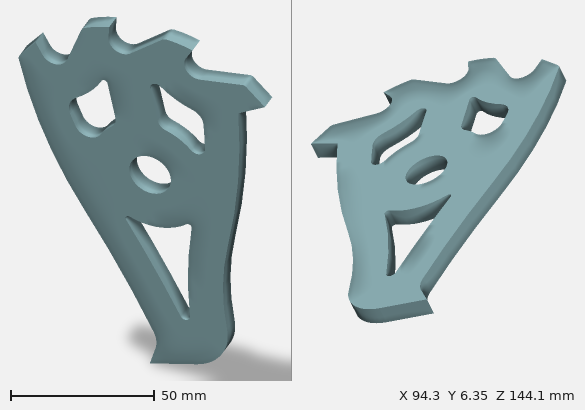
import cadquery as cq
import math

plate_thickness = 6.35
pivot_hole_diameter = 15.875

hub_radius = 22.225

tooth_1_shoulder = (-50.55, 36.0)
tooth_1_tip = (-43.84, 44.32)
tooth_2_shoulder = (-26.1, 56.05)
tooth_2_tip = (-15.7, 59.89)
tooth_3_shoulder = (5.4, 61.4)
tooth_3_tip = (16.25, 59.71)
tooth_4_shoulder = (36.15, 50.7)
tooth_4_tip = (43.95, 43.55)
tooth_2_back_rise = 0.37
tooth_3_back_rise = 0.34
crest_radius = 2.8
hook_radius = 1.8
tail_radius = 2.2

gullet_1 = (-35.67, 30.01)
gullet_2 = (-16.54, 43.54)
gullet_3 = (8.05, 45.88)
gullet_radius = 5.2

right_throat = (33.77, 37.65)
right_inflection = (29.78, -21.84)
right_bulge = 1.93
heel = (33.21, -73.04)
heel_radius = 16.5
spur_tip = (-0.14, -82.79)
spur_root = (3.1, -72.0)
spur_root_radius = 9.5
left_inflection = (-25.21, -23.21)
left_hollow = 0.9
throat_radius = 0.8


left_window_top = (-17.1, 38.6)
left_window_outer = (-32.6, 22.66)
left_window_hub_start = 125.0
left_window_hub_end = 177.16
left_window_gullet_bulge = 2.27
left_window_side_bulge = 0.82
left_window_top_radius = 1.2
left_window_outer_radius = 6.44
left_window_bottom_radius = 5.54
left_window_inner_radius = 4.2

right_window_top = (-1.75, 45.88)
right_window_outer = (20.01, 32.71)
right_window_hub_start = 18.75
right_window_hub_end = 80.9
right_window_gullet_bulge = 2.43
right_window_side_bulge = 0.41
right_window_top_radius = 2.38
right_window_outer_radius = 5.67
right_window_bottom_radius = 3.09
right_window_inner_radius = 4.4

lower_window_bottom = (16.7, -68.0)
lower_window_hub_start = 238.8
lower_window_hub_end = 317.4
lower_window_right_bulge = 2.1
lower_window_left_bulge = 0.75
lower_window_hub_corner_radius = 1.2
lower_window_bottom_radius = 1.9


def hub_point(angle):
    """Point on the hub ring at an angle in degrees from +X towards +Z."""
    turn = math.radians(angle)
    return (hub_radius * math.cos(turn), hub_radius * math.sin(turn))


def sketch_at(point):
    """Start an outline on the mid plane of the plate, in X and Z."""
    return cq.Workplane("XZ").moveTo(*point)


def extrude_rounded(outline, rounded_corners):
    """Extrude a closed outline about the mid plane and round the listed (corner, radius) pairs."""
    body = outline.close().extrude(plate_thickness / 2, both=True)
    for (x, z), radius in rounded_corners:
        corner_edge = cq.selectors.NearestToPointSelector((x, 0, z))
        body = body.edges("|Y").edges(corner_edge).fillet(radius)
    return body


def make_body():
    outline = (
        sketch_at(tooth_1_shoulder)
        .lineTo(*tooth_1_tip)
        .lineTo(*gullet_1)
        .lineTo(*tooth_2_shoulder)
        .sagittaArc(tooth_2_tip, tooth_2_back_rise)
        .lineTo(*gullet_2)
        .lineTo(*tooth_3_shoulder)
        .sagittaArc(tooth_3_tip, tooth_3_back_rise)
        .lineTo(*gullet_3)
        .lineTo(*tooth_4_shoulder)
        .lineTo(*tooth_4_tip)
        .lineTo(*right_throat)
        .sagittaArc(right_inflection, right_bulge)
        .tangentArcPoint(heel, relative=False)
        .lineTo(*spur_tip)
        .lineTo(*spur_root)
        .sagittaArc(left_inflection, -left_hollow)
        .tangentArcPoint(tooth_1_shoulder, relative=False)
    )
    return extrude_rounded(outline, [
        (tooth_1_shoulder, tail_radius),
        (gullet_1, gullet_radius),
        (tooth_2_shoulder, crest_radius),
        (tooth_3_shoulder, crest_radius),
        (gullet_2, gullet_radius),
        (gullet_3, gullet_radius),
        (tooth_4_shoulder, hook_radius),
        (right_throat, throat_radius),
        (heel, heel_radius),
        (spur_root, spur_root_radius),
    ])


def make_left_window():
    inner_corner = hub_point(left_window_hub_start)
    bottom_corner = hub_point(left_window_hub_end)
    outline = (
        sketch_at(left_window_top)
        .lineTo(*inner_corner)
        .radiusArc(bottom_corner, -hub_radius)
        .sagittaArc(left_window_outer, left_window_side_bulge)
        .sagittaArc(left_window_top, -left_window_gullet_bulge)
    )
    return extrude_rounded(outline, [
        (left_window_top, left_window_top_radius),
        (inner_corner, left_window_inner_radius),
        (bottom_corner, left_window_bottom_radius),
        (left_window_outer, left_window_outer_radius),
    ])


def make_right_window():
    bottom_corner = hub_point(right_window_hub_start)
    inner_corner = hub_point(right_window_hub_end)
    outline = (
        sketch_at(right_window_top)
        .sagittaArc(right_window_outer, -right_window_gullet_bulge)
        .sagittaArc(bottom_corner, right_window_side_bulge)
        .radiusArc(inner_corner, -hub_radius)
        .lineTo(*right_window_top)
    )
    return extrude_rounded(outline, [
        (right_window_top, right_window_top_radius),
        (right_window_outer, right_window_outer_radius),
        (bottom_corner, right_window_bottom_radius),
        (inner_corner, right_window_inner_radius),
    ])


def make_lower_window():
    left_corner = hub_point(lower_window_hub_start)
    right_corner = hub_point(lower_window_hub_end)
    outline = (
        sketch_at(left_corner)
        .radiusArc(right_corner, -hub_radius)
        .sagittaArc(lower_window_bottom, -lower_window_right_bulge)
        .sagittaArc(left_corner, -lower_window_left_bulge)
    )
    return extrude_rounded(outline, [
        (left_corner, lower_window_hub_corner_radius),
        (right_corner, lower_window_hub_corner_radius),
        (lower_window_bottom, lower_window_bottom_radius),
    ])


def make_pivot_hole():
    return cq.Workplane("XZ").circle(pivot_hole_diameter / 2).extrude(plate_thickness / 2, both=True)


result = (
    make_body()
    .cut(make_left_window())
    .cut(make_right_window())
    .cut(make_lower_window())
    .cut(make_pivot_hole())
)